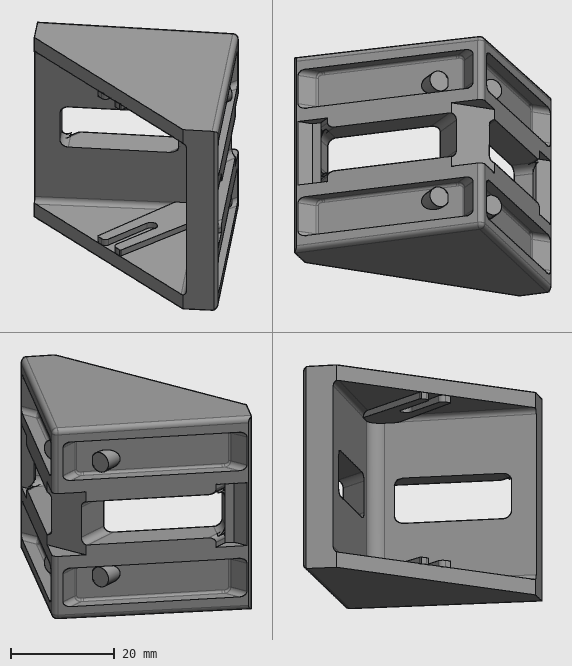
import cadquery as cq
import math

WIDTH = 54.15
HEIGHT = 40.0
CORNER_Y = 32.35
TIP_SUM = 22.8
APEX_RADIUS = 1.1
EDGE_RADIUS = 1.1
FRONT_CLEARANCE = 2.7
OUTER_DRAFT = 0.55

CAVITY_Y = 23.75
SIDE_WALL = 3.05
CAVITY_HEIGHT = HEIGHT - 2 * SIDE_WALL
CAVITY_DRAFT = 1.0
CAVITY_APEX_RADIUS = 2.9
CAVITY_EDGE_RADIUS = 1.1

TONGUE_FRONT_WIDTH = 7.05
TONGUE_BACK_WIDTH = 8.25
TONGUE_GAP = 31.3
TONGUE_CHAMFER = 0.2
TONGUE_FRONT_Y = 0.05
TONGUE_DRAFT = 0.5
TONGUE_SLOT_WIDTH = 2.5
TONGUE_SLOT_LENGTH = 11.75
TONGUE_LEAD_RADIUS = 1.0

WINDOW_NEAR_X = 3.5
WINDOW_FAR_SUM = 15.85
WINDOW_HEIGHT = 8.95
WINDOW_NEAR_RADIUS = 1.35
WINDOW_FAR_RADIUS = 1.6

RECESS_HEIGHT = 13.0
RECESS_X = 22.6
RECESS_END_Y = 5.45
RECESS_FLARE_RADIUS = 1.05
NOTCH_Y = 27.7

POCKET_WALL_X = 1.45
POCKET_FLOOR_Y = 28.25
POCKET_END_Y = 5.45
POCKET_HEIGHT = 7.95
POCKET_Z = 13.05
POCKET_CORNER_RADIUS = 1.1
POCKET_FLOOR_RADIUS = 0.55

PAD_X = 5.65
PAD_TOP_Y = 24.5
PAD_Z = 11.85
PAD_RADIUS = 2.0


def z_prism(points, height, z=0.0):
    """Prism with a plan outline, centred on height z."""
    return cq.Workplane("XY").workplane(offset=z - height / 2).polyline(points).close().extrude(height)


def box(x0, x1, y0, y1, height):
    """Box centred on Z = 0."""
    return z_prism([(x0, y0), (x1, y0), (x1, y1), (x0, y1)], height)


def drafted_slab(height, draft):
    """Slab across X whose height at Y = 0 is given and shrinks toward +Y."""
    slope = math.tan(math.radians(draft))
    front = height / 2 + slope * FRONT_CLEARANCE
    back = height / 2 - slope * CORNER_Y
    outline = [(-FRONT_CLEARANCE, -front), (CORNER_Y, -back), (CORNER_Y, back), (-FRONT_CLEARANCE, front)]
    return cq.Workplane("YZ").polyline(outline).close().extrude(WIDTH, both=True)


def fillet_leg_edges(body, corner_y, height, radius):
    """Round the four long edges between the leg planes and the sides, on through the apex."""
    x = WIDTH / 4
    y = corner_y - x
    z = height / 2
    spots = [(sx * x, y, sz * z) for sx in (-1, 1) for sz in (-1, 1)]
    edges = [body.edges(cq.NearestToPointSelector(spot)).val() for spot in spots]
    return body.newObject(edges).fillet(radius)


def both_legs(shape):
    """The shape on the -X leg together with its mirror image on the +X leg."""
    return shape.union(shape.mirror("YZ"))


def both_sides(shape):
    """The shape at +Z together with its mirror image at -Z."""
    return shape.union(shape.mirror("XY"))


def make_body():
    half = WIDTH / 2
    outline = [
        (TIP_SUM, 0),
        (half, half - TIP_SUM),
        (half, CORNER_Y - half),
        (0, CORNER_Y),
        (-half, CORNER_Y - half),
        (-half, half - TIP_SUM),
        (-TIP_SUM, 0),
    ]
    body = z_prism(outline, HEIGHT).edges("|Z and >Y").fillet(APEX_RADIUS)
    body = body.intersect(drafted_slab(HEIGHT, OUTER_DRAFT))
    return fillet_leg_edges(body, CORNER_Y, HEIGHT, EDGE_RADIUS)


def make_cavity():
    base = CAVITY_Y + FRONT_CLEARANCE
    cavity = z_prism([(-base, -FRONT_CLEARANCE), (base, -FRONT_CLEARANCE), (0, CAVITY_Y)], HEIGHT)
    cavity = cavity.edges("|Z and >Y").fillet(CAVITY_APEX_RADIUS)
    cavity = cavity.intersect(drafted_slab(CAVITY_HEIGHT, CAVITY_DRAFT))
    return fillet_leg_edges(cavity, CAVITY_Y, CAVITY_HEIGHT, CAVITY_EDGE_RADIUS)


def make_tongues():
    """Plate through both tongues, narrowing toward the open front, with the gap removed."""
    front = TONGUE_FRONT_WIDTH / 2
    back = TONGUE_BACK_WIDTH / 2
    outline = [(-front, TONGUE_FRONT_Y), (front, TONGUE_FRONT_Y), (back, CAVITY_Y), (-back, CAVITY_Y)]
    plate = z_prism(outline, HEIGHT - SIDE_WALL).edges("|Z and <Y").chamfer(TONGUE_CHAMFER)
    slot_half = TONGUE_SLOT_WIDTH / 2
    slot_straight = TONGUE_SLOT_LENGTH - slot_half
    slot = box(-slot_half, slot_half, 0, slot_straight, HEIGHT)
    slot_end = cq.Workplane("XY").center(0, slot_straight).circle(slot_half).extrude(HEIGHT / 2, both=True)
    plate = plate.cut(slot).cut(slot_end)
    reach_x = slot_half + TONGUE_FRONT_Y
    mouth = cq.selectors.BoxSelector((-reach_x, 0, -HEIGHT), (reach_x, 2 * TONGUE_FRONT_Y, HEIGHT))
    plate = plate.edges("|Z").edges(mouth).fillet(TONGUE_LEAD_RADIUS)
    return plate.cut(drafted_slab(TONGUE_GAP, TONGUE_DRAFT))


def make_notch():
    """Block that flattens the apex between the upper and lower pockets."""
    return box(-NOTCH_Y, NOTCH_Y, NOTCH_Y, CORNER_Y, RECESS_HEIGHT)


def make_windows():
    start_y = (CAVITY_Y - WINDOW_FAR_SUM) / 4
    outline = [
        (-WINDOW_NEAR_X, CAVITY_Y - 2 * WINDOW_NEAR_X),
        (-WINDOW_NEAR_X, WIDTH),
        (-WINDOW_FAR_SUM - WIDTH, WIDTH),
        (-WINDOW_FAR_SUM - start_y, start_y),
    ]
    window = z_prism(outline, WINDOW_HEIGHT)
    window = window.edges("|Y").fillet(WINDOW_NEAR_RADIUS)
    far_edges = window.faces("<(1, 1, 0)").edges("not |Z")
    window = far_edges.fillet(WINDOW_FAR_RADIUS)
    return both_legs(window)


def make_recesses():
    floor_y = RECESS_X - WINDOW_FAR_SUM
    outline = [
        (-RECESS_X, floor_y),
        (-RECESS_X, WIDTH),
        (-WIDTH, WIDTH),
        (-WIDTH, RECESS_END_Y),
        (-RECESS_X - floor_y + RECESS_END_Y, RECESS_END_Y),
    ]
    recess = z_prism(outline, RECESS_HEIGHT)
    return both_legs(recess.union(both_sides(make_flare(floor_y))))


def make_flare(floor_y):
    """Cutter that rounds the edge between the window side and the recess face parallel to Y."""
    edge_z = WINDOW_HEIGHT / 2
    return (
        cq.Workplane("XZ", origin=(0, floor_y, 0))
        .moveTo(-RECESS_X, edge_z + RECESS_FLARE_RADIUS)
        .radiusArc((-RECESS_X + RECESS_FLARE_RADIUS, edge_z), -RECESS_FLARE_RADIUS)
        .lineTo(-RECESS_X, edge_z)
        .close()
        .extrude(-WIDTH)
    )


def make_pockets():
    outline = [
        (-POCKET_WALL_X, POCKET_FLOOR_Y - POCKET_WALL_X),
        (POCKET_END_Y - POCKET_FLOOR_Y, POCKET_END_Y),
        (-WIDTH, POCKET_END_Y),
        (-WIDTH, WIDTH),
        (-POCKET_WALL_X, WIDTH),
    ]
    pocket = z_prism(outline, POCKET_HEIGHT, POCKET_Z)
    pocket = pocket.edges("(|Y and >X) or (|X and <Y)").fillet(POCKET_CORNER_RADIUS)
    floor = cq.NearestToPointSelector((-POCKET_FLOOR_Y / 2, POCKET_FLOOR_Y / 2, POCKET_Z))
    pocket = pocket.faces(floor).edges().fillet(POCKET_FLOOR_RADIUS)
    pad = (
        cq.Workplane("XZ", origin=(-PAD_X, PAD_TOP_Y, PAD_Z))
        .circle(PAD_RADIUS)
        .extrude(PAD_TOP_Y)
    )
    return both_sides(both_legs(pocket.cut(pad)))


cavity = make_cavity().cut(make_tongues())
body = make_body().cut(cavity).cut(make_notch())
body = body.cut(make_windows()).cut(make_recesses())
result = body.cut(make_pockets()).solids()